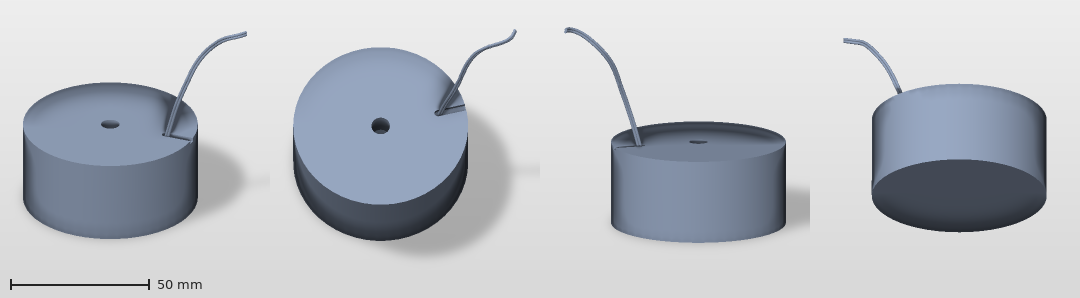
import cadquery as cq
import math

body_diameter = 63
body_height = 29.9

hole_diameter = 6.6
hole_depth = 9.95
drill_point_angle = 118

slot_start_x = 20.0
slot_width = 2.5
slot_center_y = 0.2
slot_depth = 1.25

core_diameter = 1.0
core_spacing = 0.9
cable_embed_depth = 0.25
cable_start_x = 21.7
cable_start_z = body_height - slot_depth - cable_embed_depth
cable_end_direction = (0.55, 0.83, 0)
cable_path_points = [
    (cable_start_x, 0, cable_start_z),
    (23.5, 0, 34.8),
    (26.4, -0.3, 44.45),
    (29.7, 0.75, 53.4),
    (32.6, 2.4, 60.4),
    (36.2, 3.4, 65.7),
    (40.9, 2.65, 70.5),
    (45.3, 1.65, 73.6),
    (48.8, 2.2, 75.0),
    (50.9, 4.6, 75.2),
]


def make_body():
    return cq.Workplane("XY").circle(body_diameter / 2).extrude(body_height)


def make_drilled_hole():
    radius = hole_diameter / 2
    point_length = radius / math.tan(math.radians(drill_point_angle / 2))
    wall_end_z = body_height - hole_depth
    return (
        cq.Workplane("XZ")
        .moveTo(0, body_height)
        .lineTo(radius, body_height)
        .lineTo(radius, wall_end_z)
        .lineTo(0, wall_end_z - point_length)
        .close()
        .revolve(360, (0, 0, 0), (0, 1, 0))
    )


def make_slot():
    slot_length = body_diameter / 2 - slot_start_x + slot_width
    return (
        cq.Workplane("XY", origin=(slot_start_x + slot_length / 2, slot_center_y, body_height))
        .slot2D(slot_length, slot_width)
        .extrude(-slot_depth)
    )


def make_cable():
    first_point = cq.Vector(*cable_path_points[0])
    start_direction = cq.Vector(*cable_path_points[1]) - first_point
    path_edge = cq.Edge.makeSpline(
        [cq.Vector(*point) for point in cable_path_points],
        tangents=[start_direction.normalized(), cq.Vector(*cable_end_direction)],
    )
    path = cq.Workplane(obj=path_edge)

    core_radius = core_diameter / 2
    core_offset = core_spacing / 2
    tip = core_offset + core_radius
    groove = math.sqrt(core_radius**2 - core_offset**2)
    section_plane = cq.Plane(origin=first_point, xDir=(0, 1, 0), normal=start_direction)
    return (
        cq.Workplane(section_plane)
        .moveTo(groove, 0)
        .threePointArc((0, tip), (-groove, 0))
        .threePointArc((0, -tip), (groove, 0))
        .close()
        .sweep(path)
    )


result = make_body().cut(make_drilled_hole()).cut(make_slot()).union(make_cable())